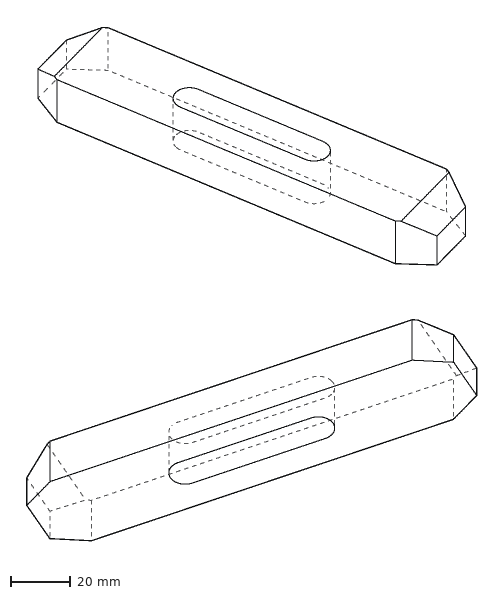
import cadquery as cq
import math

length = 160.0
width = 32.0
height = 19.0

taper_angle = math.radians(30)
nose_width = 18.0
nose_height = 13.0
side_taper_length = (width - nose_width) / 2 / math.tan(taper_angle)
top_taper_length = (height - nose_height) / math.tan(taper_angle)

slot_length = 61.0
slot_width = 11.0


def plan_profile():
    """Bar outline in plan, narrowing to the nose width at both ends."""
    end = length / 2
    shoulder = end - side_taper_length
    points = [
        (-end, -nose_width / 2),
        (-shoulder, -width / 2),
        (shoulder, -width / 2),
        (end, -nose_width / 2),
        (end, nose_width / 2),
        (shoulder, width / 2),
        (-shoulder, width / 2),
        (-end, nose_width / 2),
    ]
    return cq.Workplane("XY").polyline(points).close().extrude(height)


def side_profile():
    """Bar outline from the side, sloping down to the nose height at both ends."""
    end = length / 2
    shoulder = end - top_taper_length
    points = [
        (-end, 0),
        (end, 0),
        (end, nose_height),
        (shoulder, height),
        (-shoulder, height),
        (-end, nose_height),
    ]
    return cq.Workplane("XZ").polyline(points).close().extrude(width / 2, both=True)


def slot():
    return cq.Workplane("XY").slot2D(slot_length, slot_width).extrude(height)


result = plan_profile().intersect(side_profile()).cut(slot())